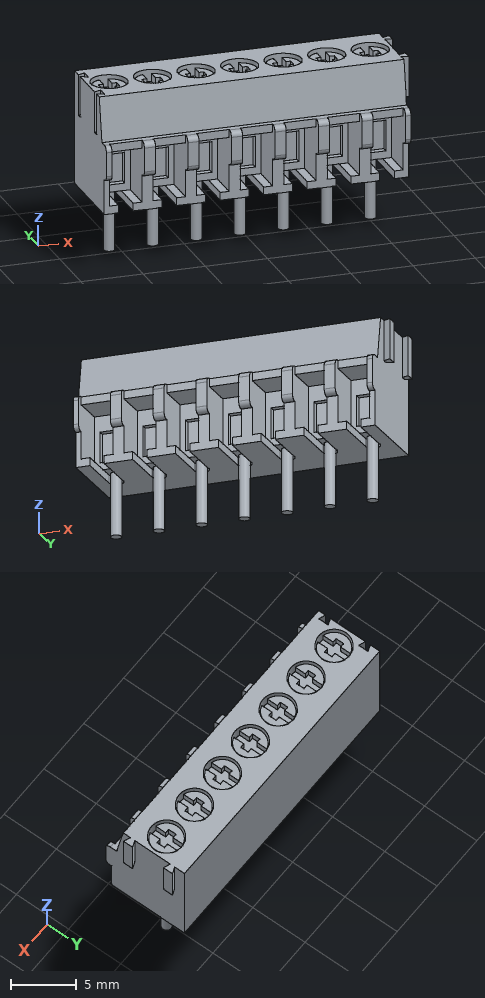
import cadquery as cq


POLES = 7
PITCH = 3.5
LENGTH = POLES * PITCH
HEIGHT = 9.2
BACK_Y = 3.05
FRONT_Y = BACK_Y - 7.0
RIB_FRONT_Y = BACK_Y - 7.55
TOP_EDGE_Y = BACK_Y - 5.87
STEP_EDGE_Y = BACK_Y - 6.5
STEP_Z = HEIGHT - 3.5
RIB_BOTTOM_Z = 2.85
RIB_CORNER_RADIUS = 0.45

ENTRY_WIDTH = 2.6
ENTRY_FLOOR_Z = 0.65
LIP_HEIGHT = 0.65
ENTRY_BACK_Y = -1.2
WINDOW_WIDTH = 1.7
WINDOW_BOTTOM_Z = 1.25
WINDOW_HEIGHT = 2.5
WINDOW_DEPTH = 0.5
FLOOR_SLOT_WIDTH = 1.17

PIN_DIAMETER = 0.9
PIN_LENGTH = 4.5
PIN_ROOT_LENGTH = 1.0

SCREW_HOLE_DIAMETER = 2.9
SCREW_DIAMETER = 2.7
SCREW_HOLE_DEPTH = 2.0
SCREW_RECESS = 0.3
DRIVE_WIDTH = 0.7
CROSS_LENGTH = 1.45
DRIVE_DEPTH = 0.65

DOVETAIL_YS = (BACK_Y - 1.15, BACK_Y - 4.97)
DOVETAIL_NECK = 0.43
DOVETAIL_WIDTH = 0.87
DOVETAIL_DEPTH = 0.57
DOVETAIL_HEIGHT = 3.3

LEFT_X = -LENGTH / 2
RIGHT_X = LENGTH / 2
POLE_XS = [(i - (POLES - 1) / 2) * PITCH for i in range(POLES)]


def box(x_center, width, y_min, y_max, z_min, z_max):
    """Box centred on x_center and spanning the given Y and Z limits."""
    return (
        cq.Workplane("XY")
        .box(width, y_max - y_min, z_max - z_min, centered=(True, False, False))
        .translate((x_center, y_min, z_min))
    )


def make_housing():
    """Housing profile along X, with the rounded front band joined on."""
    profile = [
        (BACK_Y, 0),
        (FRONT_Y, 0),
        (FRONT_Y, STEP_Z),
        (STEP_EDGE_Y, STEP_Z),
        (TOP_EDGE_Y, HEIGHT),
        (BACK_Y, HEIGHT),
    ]
    body = cq.Workplane("YZ").polyline(profile).close().extrude(LENGTH).translate((LEFT_X, 0, 0))
    band = box(0, LENGTH, RIB_FRONT_Y, STEP_EDGE_Y, RIB_BOTTOM_Z, STEP_Z)
    band = band.edges("|X and <Y").fillet(RIB_CORNER_RADIUS)
    return body.union(band)


def make_wire_entry(x):
    """Space removed for one wire: entry, clamp window and the slot in the floor."""
    band_gap = box(x, ENTRY_WIDTH, RIB_FRONT_Y, FRONT_Y, ENTRY_FLOOR_Z, STEP_Z)
    entry = box(x, ENTRY_WIDTH, FRONT_Y, ENTRY_BACK_Y, ENTRY_FLOOR_Z, STEP_Z - LIP_HEIGHT)
    window = box(
        x,
        WINDOW_WIDTH,
        ENTRY_BACK_Y,
        ENTRY_BACK_Y + WINDOW_DEPTH,
        WINDOW_BOTTOM_Z,
        WINDOW_BOTTOM_Z + WINDOW_HEIGHT,
    )
    slot = box(x, FLOOR_SLOT_WIDTH, FRONT_Y, 0, 0, ENTRY_FLOOR_Z)
    slot_end = cq.Workplane("XY").center(x, 0).circle(FLOOR_SLOT_WIDTH / 2).extrude(ENTRY_FLOOR_Z)
    return band_gap.union(entry).union(window).union(slot).union(slot_end)


def make_screw_hole(x):
    """Clearance hole for one screw, open at the top."""
    return (
        cq.Workplane("XY", origin=(x, 0, HEIGHT - SCREW_HOLE_DEPTH))
        .circle(SCREW_HOLE_DIAMETER / 2)
        .extrude(SCREW_HOLE_DEPTH)
    )


def make_screw(x):
    """Screw head with a full-width slot along Y and a shorter cross slot along X."""
    head_top_z = HEIGHT - SCREW_RECESS
    head = (
        cq.Workplane("XY", origin=(x, 0, HEIGHT - SCREW_HOLE_DEPTH))
        .circle(SCREW_DIAMETER / 2)
        .extrude(SCREW_HOLE_DEPTH - SCREW_RECESS)
    )
    drive_floor_z = head_top_z - DRIVE_DEPTH
    slot = box(x, DRIVE_WIDTH, -SCREW_DIAMETER / 2, SCREW_DIAMETER / 2, drive_floor_z, head_top_z)
    cross = box(x, CROSS_LENGTH, -DRIVE_WIDTH / 2, DRIVE_WIDTH / 2, drive_floor_z, head_top_z)
    return head.cut(slot).cut(cross)


def make_pin(x):
    """Solder pin, rooted in the housing above the floor slot."""
    root_z = ENTRY_FLOOR_Z + PIN_ROOT_LENGTH
    return (
        cq.Workplane("XY", origin=(x, 0, -PIN_LENGTH))
        .circle(PIN_DIAMETER / 2)
        .extrude(PIN_LENGTH + root_z)
    )


def make_dovetail(x, y):
    """Dovetail prism that widens from its neck at x towards +X."""
    outline = [
        (x, y - DOVETAIL_NECK / 2),
        (x + DOVETAIL_DEPTH, y - DOVETAIL_WIDTH / 2),
        (x + DOVETAIL_DEPTH, y + DOVETAIL_WIDTH / 2),
        (x, y + DOVETAIL_NECK / 2),
    ]
    base = cq.Workplane("XY", origin=(0, 0, HEIGHT - DOVETAIL_HEIGHT))
    return base.polyline(outline).close().extrude(DOVETAIL_HEIGHT)


result = make_housing()
for dovetail_y in DOVETAIL_YS:
    result = result.cut(make_dovetail(LEFT_X, dovetail_y))
    result = result.union(make_dovetail(RIGHT_X, dovetail_y))
for pole_x in POLE_XS:
    result = result.cut(make_wire_entry(pole_x))
    result = result.cut(make_screw_hole(pole_x))
    result = result.union(make_screw(pole_x))
    result = result.union(make_pin(pole_x))